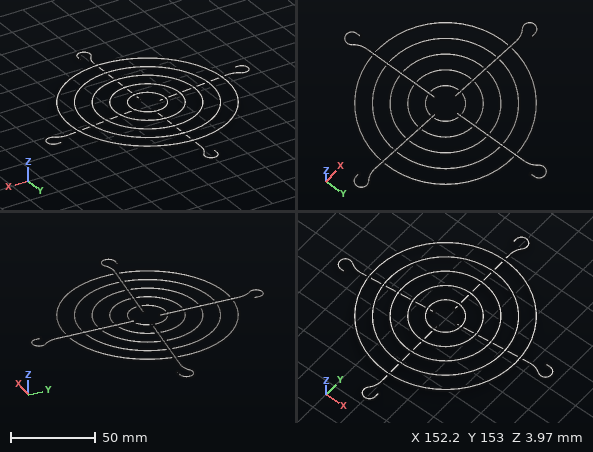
import cadquery as cq
import math

wire_diameter = 2.0
wire_radius = wire_diameter / 2
weld_overlap = 0.03

ring_count = 5
inner_ring_radius = 12.0
outer_ring_radius = 54.0
ring_pitch = (outer_ring_radius - inner_ring_radius) / (ring_count - 1)
ring_height = wire_diameter - weld_overlap

overall_length = 153.0
spoke_start = 8.0
spoke_end = 60.0
loop_radius = 4.3
tail_length = 3.2
side_spoke_tilt = 6.0

loop_center = overall_length / 2 - wire_radius - loop_radius
loop_offset = loop_center - spoke_end
neck_radius = (loop_offset**2 - loop_radius**2) / (2 * loop_radius)


def ring(radius):
    return cq.Workplane(cq.Solid.makeTorus(radius, wire_radius, cq.Vector(0, 0, ring_height)))


def polar(center, radius, degrees):
    angle = math.radians(degrees)
    return (center[0] + radius * math.cos(angle), center[1] + radius * math.sin(angle))


def hooked_spoke(rotation, tail_turn):
    """Spoke along +Y with a hook at its end, turned about Z by rotation.

    tail_turn shortens the loop, in degrees, which turns the tail clockwise.
    """
    neck_center = (neck_radius, spoke_end)
    loop_middle = (0, loop_center)
    joint_angle = -math.degrees(math.atan2(loop_offset, neck_radius))
    loop_end_angle = 180 - tail_turn

    neck_mid = polar(neck_center, neck_radius, 180 + joint_angle / 2)
    joint = polar(loop_middle, loop_radius, joint_angle)
    loop_mid = polar(loop_middle, loop_radius, (joint_angle + loop_end_angle) / 2)
    loop_end = polar(loop_middle, loop_radius, loop_end_angle)
    tail_end = polar(loop_end, tail_length, loop_end_angle + 90)

    path = (
        cq.Workplane("XY")
        .moveTo(0, spoke_start)
        .lineTo(0, spoke_end)
        .threePointArc(neck_mid, joint)
        .threePointArc(loop_mid, loop_end)
        .lineTo(*tail_end)
    )
    wire = cq.Workplane("XZ", origin=(0, spoke_start, 0)).circle(wire_radius).sweep(path)
    return wire.rotate((0, 0, 0), (0, 0, 1), rotation)


result = ring(inner_ring_radius)
for half_turn in (0, 180):
    result = result.union(hooked_spoke(half_turn, 0))
    result = result.union(hooked_spoke(half_turn + 90 + side_spoke_tilt, side_spoke_tilt))
for index in range(1, ring_count):
    result = result.union(ring(inner_ring_radius + index * ring_pitch))